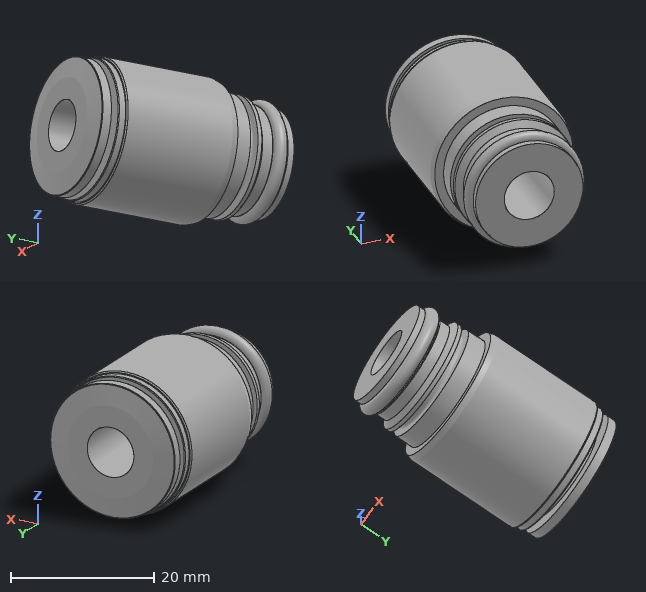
import cadquery as cq

bore_radius = 7.4 / 2
tip_radius = 15.9 / 2
seal_groove_radius = 13.0 / 2
collar_radius = 17.9 / 2
collar_groove_radius = 15.0 / 2
body_radius = 21.1 / 2
rear_step_radius = 20.35 / 2
neck_radius = 14.0 / 2
flange_radius = 19.8 / 2
end_face_radius = 6.8

tip_end = 1.0
seal_groove_end = 3.35
collar_cone_start = 5.15
collar_start = 5.87
collar_groove_start = 6.5
collar_groove_end = 7.7
body_start = 10.55
body_end = 28.8
rear_step_end = 29.95
flange_start = 30.95
flange_cone_start = 32.35
total_length = 33.0

tip_chamfer = 0.13
groove_fillet = 0.25
body_front_chamfer_length = 0.95
body_front_chamfer_depth = 0.3
body_rear_chamfer = 0.2
rear_step_chamfer = 0.13
neck_flare_length = 0.33
neck_flare_depth = 0.15
flange_edge_chamfer = 0.1

ring_section_radius = 0.92
ring_outer_radius = 17.75 / 2
ring_center_radius = ring_outer_radius - ring_section_radius
ring_center = 2.2
ring_overlap = 0.15
ring_root_radius = seal_groove_radius - ring_overlap


def tip_and_collar(profile):
    """Add the seal groove, the snap collar and its groove to the profile."""
    arc_inset = groove_fillet * (1 - 0.5**0.5)
    root_radius = collar_groove_radius
    return (
        profile.lineTo(tip_radius, 0)
        .lineTo(tip_radius, tip_end)
        .lineTo(seal_groove_radius, tip_end)
        .lineTo(seal_groove_radius, seal_groove_end)
        .lineTo(tip_radius - tip_chamfer, seal_groove_end)
        .lineTo(tip_radius, seal_groove_end + tip_chamfer)
        .lineTo(tip_radius, collar_cone_start)
        .lineTo(collar_radius, collar_start)
        .lineTo(collar_radius, collar_groove_start)
        .lineTo(root_radius + groove_fillet, collar_groove_start)
        .threePointArc(
            (root_radius + arc_inset, collar_groove_start + arc_inset),
            (root_radius, collar_groove_start + groove_fillet),
        )
        .lineTo(root_radius, collar_groove_end - groove_fillet)
        .threePointArc(
            (root_radius + arc_inset, collar_groove_end - arc_inset),
            (root_radius + groove_fillet, collar_groove_end),
        )
        .lineTo(collar_radius, collar_groove_end)
        .lineTo(collar_radius, body_start)
    )


def body_and_flange(profile):
    """Add the main body, the rear neck and the release flange to the profile."""
    return (
        profile.lineTo(body_radius - body_front_chamfer_depth, body_start)
        .lineTo(body_radius, body_start + body_front_chamfer_length)
        .lineTo(body_radius, body_end - body_rear_chamfer)
        .lineTo(body_radius - body_rear_chamfer, body_end)
        .lineTo(rear_step_radius, body_end)
        .lineTo(rear_step_radius, rear_step_end - rear_step_chamfer)
        .lineTo(rear_step_radius - rear_step_chamfer, rear_step_end)
        .lineTo(neck_radius, rear_step_end)
        .lineTo(neck_radius, flange_start - neck_flare_length)
        .lineTo(neck_radius + neck_flare_depth, flange_start)
        .lineTo(flange_radius, flange_start)
        .lineTo(flange_radius, flange_cone_start)
        .lineTo(flange_radius - flange_edge_chamfer, flange_cone_start + flange_edge_chamfer)
        .lineTo(end_face_radius, total_length)
        .lineTo(bore_radius, total_length)
    )


def revolve_about_y(profile):
    return profile.revolve(360, (0, 0, 0), (0, 1, 0))


profile = cq.Workplane("XY").moveTo(bore_radius, 0)
profile = body_and_flange(tip_and_collar(profile)).close()
fitting = revolve_about_y(profile)

ring_front = ring_center - ring_section_radius
ring_back = ring_center + ring_section_radius
ring = revolve_about_y(
    cq.Workplane("XY")
    .moveTo(ring_root_radius, ring_front)
    .lineTo(ring_center_radius, ring_front)
    .threePointArc((ring_outer_radius, ring_center), (ring_center_radius, ring_back))
    .lineTo(ring_root_radius, ring_back)
    .close()
)

result = fitting.union(ring)